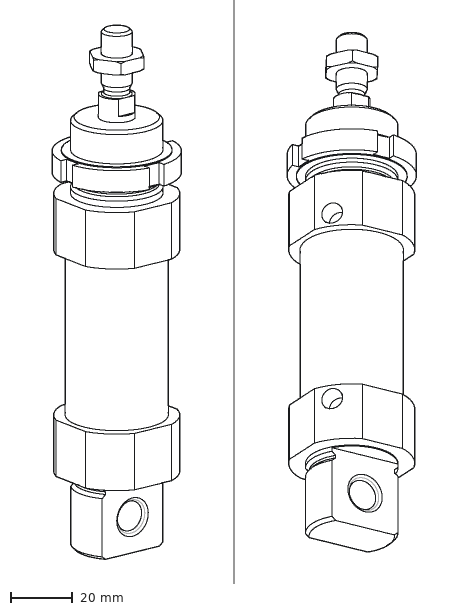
import cadquery as cq
import math

total_height = 176.5

barrel_diameter = 33.5
head_diameter = 41.0
head_flat_width = 38.0
head_height = 19.2
lower_head_bottom = 25.8
lower_head_top = lower_head_bottom + head_height
upper_head_bottom = 101.3
upper_head_top = upper_head_bottom + head_height

thread_diameter = 30.0
thread_end_diameter = 27.7
thread_chamfer = (thread_diameter - thread_end_diameter) / 2
relief_diameter = 27.7
relief_width = 3.2
upper_relief_bottom = 122.7
lower_relief_bottom = 21.0
neck_top = 146.5

tongue_thickness = 16.5
tongue_top = 25.5
eye_height = 12.2
eye_diameter = 10.0
eye_mouth_diameter = 13.0
eye_step_diameter = 11.3
eye_step_depth = 0.7
eye_taper_depth = 1.6

port_diameter = 7.0
port_angle = 130.0
port_floor_radius = 12.4
upper_port_height = 105.9
lower_port_height = 40.2

rod_diameter = 12.0
rod_flat_width = 10.0
rod_flat_bottom = 148.6
rod_shoulder = 154.5
rod_thread_diameter = 10.0
rod_thread_bottom = 158.1
rod_tip_chamfer = 0.9
undercut_diameter = 8.5
undercut_bottom = 155.0
undercut_top = 156.4

hex_width = 16.6
hex_bottom = 163.6
hex_height = 4.6
hex_corner_diameter = hex_width / math.cos(math.radians(30))
hex_chamfer_diameter = 17.6
hex_chamfer_angle = 30.0
hex_rim_margin = 0.9

ring_diameter = 42.0
ring_face_diameter = 36.0
ring_bottom = 127.3
ring_height = 8.1
ring_step = 0.4
slot_width = 6.0
slot_floor_radius = 18.4
slot_count = 4


def cylinder(diameter, bottom, top):
    return cq.Workplane("XY").workplane(offset=bottom).circle(diameter / 2).extrude(top - bottom)


def turned(profile):
    """Solid of revolution about Z from (radius, height) points; the first and last lie on the axis."""
    return cq.Workplane("XZ").polyline(profile).close().revolve(360, (0, 0, 0), (0, 1, 0))


def flat_bar(x_width, y_width, bottom, top):
    return cq.Workplane("XY").box(x_width, y_width, top - bottom, centered=(True, True, False)).translate(
        (0, 0, bottom)
    )


def double_beveled_disc(face_radius, rim_radius, rim_drop, bottom, top):
    return turned(
        [
            (0, bottom),
            (face_radius, bottom),
            (rim_radius, bottom + rim_drop),
            (rim_radius, top - rim_drop),
            (face_radius, top),
            (0, top),
        ]
    )


def make_head(bottom):
    flats = flat_bar(head_flat_width, head_flat_width, bottom, bottom + head_height)
    return cylinder(head_diameter, bottom, bottom + head_height).intersect(flats)


def thread_relief(bottom):
    """Ring-shaped cutter with 45 degree flanks for the relief groove of a mounting thread."""
    outer = thread_diameter / 2
    inner = relief_diameter / 2
    depth = outer - inner
    section = cq.Workplane("XZ").polyline(
        [
            (outer, bottom),
            (inner, bottom + depth),
            (inner, bottom + relief_width - depth),
            (outer, bottom + relief_width),
        ]
    )
    return section.close().revolve(360, (0, 0, 0), (0, 1, 0))


def make_mounting_neck():
    neck = cylinder(thread_diameter, upper_head_top, neck_top)
    return neck.faces(">Z").chamfer(thread_chamfer).cut(thread_relief(upper_relief_bottom))


def make_eye():
    """Cross hole along X whose mouths widen in two tapered steps."""
    half = tongue_thickness / 2
    eye = turned(
        [
            (0, -half),
            (eye_mouth_diameter / 2, -half),
            (eye_step_diameter / 2, -half + eye_step_depth),
            (eye_diameter / 2, -half + eye_taper_depth),
            (eye_diameter / 2, half - eye_taper_depth),
            (eye_step_diameter / 2, half - eye_step_depth),
            (eye_mouth_diameter / 2, half),
            (0, half),
        ]
    )
    return eye.rotate((0, 0, 0), (0, 1, 0), 90).translate((0, 0, eye_height))


def make_tongue():
    tongue = cylinder(thread_diameter, 0, tongue_top).faces("<Z").chamfer(thread_chamfer)
    tongue = tongue.intersect(flat_bar(tongue_thickness, thread_diameter, 0, tongue_top))
    return tongue.cut(thread_relief(lower_relief_bottom)).cut(make_eye())


def make_port(height):
    angle = math.radians(port_angle)
    direction = cq.Vector(math.cos(angle), math.sin(angle), 0)
    start = direction * port_floor_radius + cq.Vector(0, 0, height)
    length = head_diameter / 2 - port_floor_radius
    return cq.Workplane(cq.Solid.makeCylinder(port_diameter / 2, length, start, direction))


def make_housing():
    housing = cylinder(barrel_diameter, lower_head_top, upper_head_bottom)
    housing = housing.union(make_head(lower_head_bottom)).union(make_head(upper_head_bottom))
    housing = housing.union(make_mounting_neck())
    housing = housing.union(cylinder(thread_diameter, tongue_top, lower_head_bottom))
    housing = housing.union(make_tongue())
    for height in (lower_port_height, upper_port_height):
        housing = housing.cut(make_port(height))
    return housing


def make_rod():
    thread_radius = rod_thread_diameter / 2
    undercut_radius = undercut_diameter / 2
    profile = [
        (0, neck_top),
        (rod_diameter / 2, neck_top),
        (rod_diameter / 2, rod_shoulder),
        (thread_radius, rod_shoulder),
        (undercut_radius, undercut_bottom),
        (undercut_radius, undercut_top),
        (thread_radius, rod_thread_bottom),
        (thread_radius, total_height - rod_tip_chamfer),
        (thread_radius - rod_tip_chamfer, total_height),
        (0, total_height),
    ]
    below_flats = flat_bar(rod_diameter, rod_diameter, neck_top, rod_flat_bottom)
    between_flats = flat_bar(rod_flat_width, rod_diameter, rod_flat_bottom, total_height)
    return turned(profile).intersect(below_flats.union(between_flats))


def make_hex_nut():
    """Hexagon nut with flats facing +X and -X and chamfered corners on both faces."""
    top = hex_bottom + hex_height
    prism = cq.Workplane("XY").workplane(offset=hex_bottom).polygon(6, hex_corner_diameter).extrude(hex_height)
    prism = prism.rotate((0, 0, 0), (0, 0, 1), 30)
    rim_radius = hex_corner_diameter / 2 + hex_rim_margin
    rim_drop = (rim_radius - hex_chamfer_diameter / 2) * math.tan(math.radians(hex_chamfer_angle))
    envelope = double_beveled_disc(hex_chamfer_diameter / 2, rim_radius, rim_drop, hex_bottom, top)
    return prism.intersect(envelope).cut(cylinder(rod_thread_diameter, hex_bottom, top))


def make_ring_nut():
    top = ring_bottom + ring_height
    nut = cylinder(ring_face_diameter, ring_bottom, top)
    nut = nut.union(cylinder(ring_diameter, ring_bottom + ring_step, top - ring_step))
    nut = nut.cut(cylinder(thread_diameter, ring_bottom, top))
    slot_length = ring_diameter / 2 - slot_floor_radius
    slot = flat_bar(slot_length, slot_width, ring_bottom, top)
    slot = slot.translate((slot_floor_radius + slot_length / 2, 0, 0))
    for index in range(slot_count):
        nut = nut.cut(slot.rotate((0, 0, 0), (0, 0, 1), index * 360 / slot_count))
    return nut


housing = make_housing()
piston_rod = make_rod()
hex_nut = make_hex_nut()
ring_nut = make_ring_nut()

result = cq.Compound.makeCompound([housing.val(), piston_rod.val(), hex_nut.val(), ring_nut.val()])